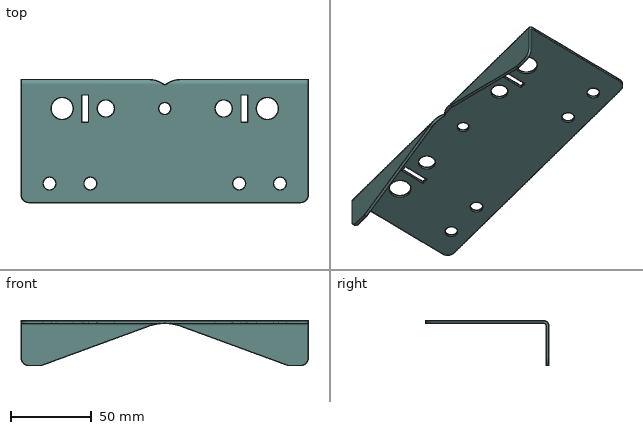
import cadquery as cq

length = 177.8
depth = 76.3
height = 28.0
thickness = 1.8
bend_radius = 3.2
corner_radius = 5.0

back_row_y = -18.0
front_row_y = -64.4
centre_hole_diameter = 7.3
paired_holes = [
    (63.5, back_row_y, 13.5),
    (36.5, back_row_y, 10.5),
    (71.3, front_row_y, 7.8),
    (46.0, front_row_y, 7.8),
]
slot_x = 49.3
slot_width = 4.0
slot_length = 16.7

foot_width = 12.5
notch_half_width_at_bend = 9.0

cut_margin = 1.8


def bent_sheet():
    """Plate on top with a flange folded down along its rear edge."""
    inner_radius = bend_radius - thickness
    profile = (
        cq.Workplane("YZ", origin=(-length / 2, 0, 0))
        .moveTo(-depth, 0)
        .lineTo(-bend_radius, 0)
        .radiusArc((0, -bend_radius), bend_radius)
        .lineTo(0, -height)
        .lineTo(-thickness, -height)
        .lineTo(-thickness, -bend_radius)
        .radiusArc((-bend_radius, -thickness), -inner_radius)
        .lineTo(-depth, -thickness)
        .close()
    )
    sheet = profile.extrude(length)
    sheet = sheet.faces("<Y").edges("|Z").fillet(corner_radius)
    foot_corners = cq.selectors.BoxSelector(
        (-length, -depth / 2, -height - cut_margin),
        (length, cut_margin, -height + cut_margin),
    )
    return sheet.edges("|Y").edges(foot_corners).fillet(corner_radius)


def flange_notch():
    """Straight-sided part of the V, below the bend."""
    foot_end = length / 2 - foot_width
    return (
        cq.Workplane("XZ", origin=(0, cut_margin, 0))
        .polyline([
            (-foot_end, -height),
            (-notch_half_width_at_bend, -bend_radius),
            (notch_half_width_at_bend, -bend_radius),
            (foot_end, -height),
        ])
        .close()
        .extrude(thickness + 2 * cut_margin)
    )


def bend_notch():
    """Right half of the V tip: its edge wraps a quarter turn around the bend."""
    inner = (bend_radius - thickness) / 2
    outer = bend_radius + cut_margin
    return (
        cq.Workplane("YZ", origin=(0, -bend_radius, -bend_radius))
        .moveTo(0, inner)
        .lineTo(0, outer)
        .radiusArc((outer, 0), outer)
        .lineTo(inner, 0)
        .radiusArc((0, inner), -inner)
        .close()
        .twistExtrude(notch_half_width_at_bend, -90)
    )


def hole(x, y, diameter):
    return cq.Workplane(origin=(x, y, -thickness)).circle(diameter / 2).extrude(thickness)


def slot(x):
    return (
        cq.Workplane(origin=(x, back_row_y, -thickness))
        .rect(slot_width, slot_length)
        .extrude(thickness)
    )


result = bent_sheet().cut(flange_notch())
half_tip = bend_notch()
result = result.cut(half_tip).cut(half_tip.mirror("YZ"))

result = result.cut(hole(0, back_row_y, centre_hole_diameter))
for side in (-1, 1):
    result = result.cut(slot(side * slot_x))
    for x, y, diameter in paired_holes:
        result = result.cut(hole(side * x, y, diameter))